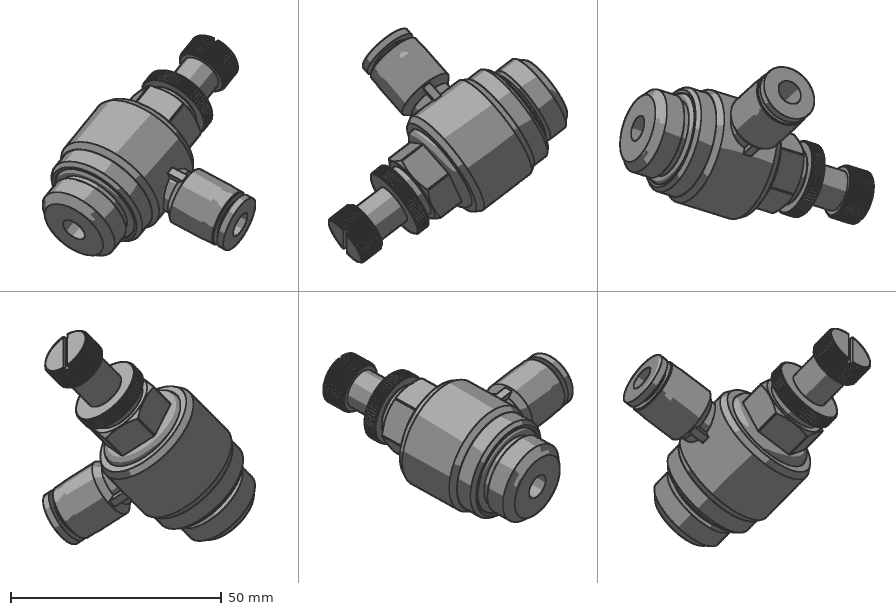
import cadquery as cq
import math


total_length = 61.7
total_width = 46.3
ring_radius = 14.0

port_face_radius = 8.3
port_face_chamfer = 0.3
pilot_radius = 9.1
pilot_length = 0.9
thread_radius = 10.3
thread_start = 2.05
thread_end = 6.85
neck_radius = 9.25
neck_start = 7.45

seal_section_radius = 1.0
seal_ring_radius = neck_radius + seal_section_radius
seal_plane = 9.25
seal_recess_radius = 11.35

flange_radius = 12.95
flange_face_radius = 12.05
flange_start = 8.95
flange_chamfer_end = 9.95

ring_start = 14.05
ring_end = 31.9
ring_chamfer_length = 1.6
ring_chamfer_width = 0.9
shank_radius = 11.35
shank_end = 33.7
shank_fillet = 1.7

hex_across_flats = 17.0
hex_edge_radius = 9.75
hex_end = 40.95
hex_cone_length = 0.75
hex_cone_end_radius = 8.4

collar_radius = 7.05
collar_chamfer = 0.4

nut_radius = 9.1
nut_start = 43.0
nut_end = 46.6
nut_teeth = 72
nut_chamfer = 0.3
stem_radius = 5.0
knob_radius = 6.55
knob_start = 55.4
knob_teeth = 60
knob_chamfer = 0.45
knob_boss_radius = 6.05
knob_boss_height = 0.3
knurl_depth = 0.3
slot_width = 1.25
slot_depth = 0.9

arm_height = 23.0
arm_end = total_width - ring_radius
arm_neck_radius = 5.55
arm_cone_start = 15.25
arm_radius = 7.2
arm_cone_end = 16.9
arm_taper_start = 25.5
arm_taper_end = 27.45
arm_rim_radius = 7.1
arm_body_end = 29.1
arm_rim_chamfer = 0.25
groove_radius = 4.95
release_ring_start = 30.25
release_ring_radius = 7.0
release_ring_chamfer = 0.25
release_ring_face_radius = 6.05

rib_thickness = 2.1
rib_half_span = 6.85
rib_end = 16.55

passage_radius = 3.1


def cylinder_y(radius, start, end):
    """Cylinder about the valve axis."""
    return cq.Workplane("XZ", origin=(0, start, 0)).circle(radius).extrude(start - end)


def turned_y(points):
    """Solid turned about the valve axis from (radius, height) points; the outline closes on the axis."""
    return cq.Workplane("XY").polyline(points).close().revolve(360, (0, 0, 0), (0, 1, 0))


def chamfered_cylinder(radius, start, end, chamfer):
    return turned_y([
        (0, start),
        (radius - chamfer, start),
        (radius, start + chamfer),
        (radius, end - chamfer),
        (radius - chamfer, end),
        (0, end),
    ])


def knurled_disc(radius, start, end, teeth, chamfer):
    """Disc with straight V-shaped knurling and chamfered rims."""
    outline = []
    for i in range(2 * teeth):
        angle = math.pi * i / teeth
        r = radius - knurl_depth * (i % 2)
        outline.append((r * math.cos(angle), r * math.sin(angle)))
    star = cq.Workplane("XZ", origin=(0, start, 0)).polyline(outline).close().extrude(start - end)
    return star.intersect(chamfered_cylinder(radius, start, end, chamfer))


def make_port_and_shank():
    """Threaded port, seal bead, flange and the shank inside the ring, turned in one outline."""
    fillet_middle = shank_fillet * math.sqrt(0.5)
    outline = (
        cq.Workplane("XY")
        .lineTo(port_face_radius, 0)
        .lineTo(port_face_radius + port_face_chamfer, port_face_chamfer)
        .lineTo(pilot_radius, pilot_length)
        .lineTo(thread_radius, thread_start)
        .lineTo(thread_radius, thread_end)
        .lineTo(neck_radius, neck_start)
        .lineTo(neck_radius, seal_plane)
        .threePointArc(
            (seal_ring_radius, seal_plane - seal_section_radius),
            (seal_ring_radius + seal_section_radius, seal_plane),
        )
        .lineTo(seal_recess_radius, seal_plane)
        .lineTo(seal_recess_radius, flange_start)
        .lineTo(flange_face_radius, flange_start)
        .lineTo(flange_radius, flange_chamfer_end)
        .lineTo(flange_radius, ring_start)
        .lineTo(shank_radius, ring_start)
        .lineTo(shank_radius, shank_end - shank_fillet)
        .threePointArc(
            (shank_radius - shank_fillet + fillet_middle, shank_end - shank_fillet + fillet_middle),
            (shank_radius - shank_fillet, shank_end),
        )
        .lineTo(0, shank_end)
        .close()
    )
    return outline.revolve(360, (0, 0, 0), (0, 1, 0))


def make_hexagon():
    """Hexagon with corners on the X axis, blunted edges and a coned top."""
    across_corners = hex_across_flats / math.cos(math.pi / 6)
    prism = (
        cq.Workplane("XZ", origin=(0, shank_end, 0))
        .polygon(6, across_corners)
        .extrude(shank_end - hex_end)
    )
    envelope = turned_y([
        (0, shank_end),
        (hex_edge_radius, shank_end),
        (hex_edge_radius, hex_end - hex_cone_length),
        (hex_cone_end_radius, hex_end),
        (0, hex_end),
    ])
    return prism.intersect(envelope)


def make_collar():
    return turned_y([
        (0, hex_end),
        (collar_radius, hex_end),
        (collar_radius, nut_start - collar_chamfer),
        (collar_radius - collar_chamfer, nut_start),
        (0, nut_start),
    ])


def make_knob():
    """Knurled knob with a boss below and a screwdriver slot along Z on top."""
    knob = knurled_disc(knob_radius, knob_start, total_length, knob_teeth, knob_chamfer)
    boss = cylinder_y(knob_boss_radius, knob_start - knob_boss_height, knob_start)
    slot = cq.Workplane("XY").box(slot_width, 2 * slot_depth, 2 * knob_radius)
    return knob.union(boss).cut(slot.translate((0, total_length, 0)))


def make_passage():
    """Bore from the port face up to the arm axis, round corner, then out along the arm."""
    port_bore = cylinder_y(passage_radius, 0, arm_height)
    corner = cq.Workplane("XY", origin=(0, arm_height, 0)).sphere(passage_radius)
    arm_bore = cq.Workplane("YZ", origin=(0, arm_height, 0)).circle(passage_radius).extrude(arm_end)
    return port_bore.union(corner).union(arm_bore)


def make_valve():
    valve = make_port_and_shank().union(make_hexagon()).union(make_collar())
    valve = valve.union(knurled_disc(nut_radius, nut_start, nut_end, nut_teeth, nut_chamfer))
    valve = valve.union(cylinder_y(stem_radius, nut_end, knob_start))
    valve = valve.union(make_knob())
    return valve.cut(make_passage())


def make_ring():
    chamfer_radius = ring_radius - ring_chamfer_width
    return turned_y([
        (0, ring_start),
        (chamfer_radius, ring_start),
        (ring_radius, ring_start + ring_chamfer_length),
        (ring_radius, ring_end - ring_chamfer_length),
        (chamfer_radius, ring_end),
        (0, ring_end),
    ])


def make_arm():
    """Arm with its push-in release ring, turned about the arm axis from (distance, radius) points."""
    outline = [
        (0, 0),
        (0, arm_neck_radius),
        (arm_cone_start, arm_neck_radius),
        (arm_cone_end, arm_radius),
        (arm_taper_start, arm_radius),
        (arm_taper_end, arm_rim_radius),
        (arm_body_end - arm_rim_chamfer, arm_rim_radius),
        (arm_body_end, arm_rim_radius - arm_rim_chamfer),
        (arm_body_end, groove_radius),
        (release_ring_start, groove_radius),
        (release_ring_start, release_ring_radius),
        (arm_end - release_ring_chamfer, release_ring_radius),
        (arm_end, release_ring_face_radius),
        (arm_end, 0),
    ]
    arm = cq.Workplane("XY", origin=(0, arm_height, 0)).polyline(outline).close()
    return arm.revolve(360, (0, 0, 0), (1, 0, 0))


def make_ribs():
    """One plate across the arm axis, which stands out above and below the arm neck as two ribs."""
    plate = cq.Workplane("XY").box(rib_end, rib_thickness, 2 * rib_half_span)
    return plate.translate((rib_end / 2, arm_height, 0))


def make_elbow():
    elbow = make_ring().union(make_arm()).union(make_ribs())
    shank_bore = cylinder_y(shank_radius, ring_start, ring_end)
    return elbow.cut(shank_bore).cut(make_passage())


valve = make_valve()
elbow = make_elbow()

result = cq.Compound.makeCompound([valve.solids().val(), elbow.solids().val()])